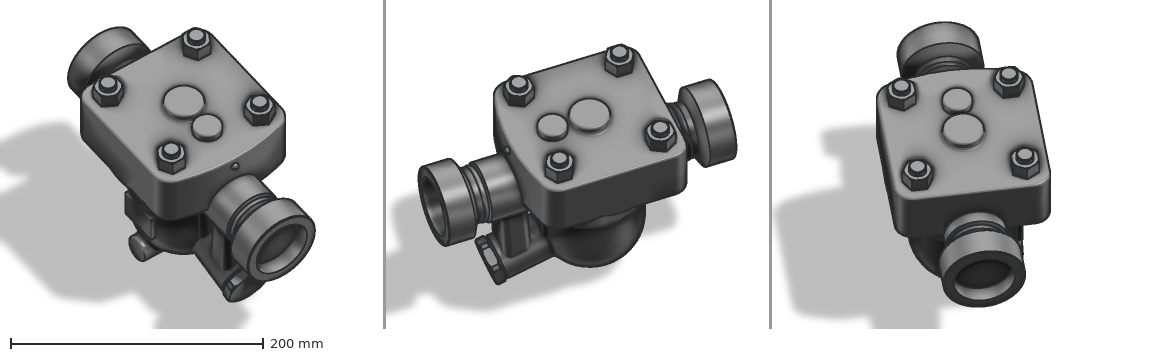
import cadquery as cq
import math


TOUCH_TOLERANCE = 0.002
HEX_HALF_ANGLE = math.pi / 6

BOWL_R = 44.3
SPHERE_Z = -62.5
CONE_BOTTOM_Z = -32.7
FLANGE_HALF_Y = 62.5
CONE_RIM_Z = 0.7
CONE_SLOPE = (FLANGE_HALF_Y - BOWL_R) / (CONE_RIM_Z - CONE_BOTTOM_Z)

FLANGE_BOTTOM_Z = 1.0
FLANGE_TOP_Z = 48.5
FLANGE_LEFT_X = -62.5
FLANGE_RIGHT_X = 69.1
CROWN_R = 172.2
LEFT_CORNER_R = 14.3
RIGHT_CORNER_R = 16.7
TOP_EDGE_R = 2.2
BOTTOM_EDGE_R = 3.0

PIPE_R = 50.0 / 2
PIPE_LENGTH = 246.0
PIPE_CENTER_X = 10.3
SOCKET_R = 66.0 / 2
SOCKET_LENGTH = 23.0
SOCKET_CHAMFER = 0.7
BORE_R = 49.2 / 2
BORE_DEPTH = 13.0
NECK_R = 46.0 / 2
NECK_START = 28.3
BEAD_START = 34.0
BEAD_TOP = 36.0
BEAD_END = 38.5
PIPE_START = 39.9
BEAD_R = 23.5
GROOVE_R = 22.1

BOLT_OFFSET = 43.0
STUD_R = 14.0 / 2
STUD_TOP_Z = 65.2
STUD_CHAMFER = 0.7
NUT_FLATS = 21.2
NUT_TOP_Z = 60.8
NUT_CHAMFER = 1.2
NUT_CLEARANCE_R = 9.5
NUT_CLEARANCE_Z = -19.0

BOSS_TOP_Z = 55.0
MAIN_BOSS_R = 33.0 / 2
MAIN_BOSS_FILLET = 3.0
MAIN_BOSS_ROUND = 2.0
SIDE_BOSS_R = 24.0 / 2
SIDE_BOSS_X = 31.7
SIDE_BOSS_ROUND = 1.7

BALL_R = 3.2
BALL_Z = 40.3

ARM_ANGLE = 15.0
ARM_R = 38.0 / 2
ARM_LENGTH = 81.5
ARM_FILLET = 5.0
PLUG_NECK_R = 35.5 / 2
PLUG_NECK_LENGTH = 1.7
PLUG_R = 40.0 / 2
PLUG_FLATS = 37.0
PLUG_LENGTH = 8.5
PLUG_CHAMFER = 1.2
BAR_HALF_Y = 15.7
RIB_X = 46.0
LEG_LEFT_X = 57.0
LEG_RIGHT_X = 81.5
LEG_TOP_Z = -12.3
LEG_BEND_Z = -32.7
LEG_BOTTOM_Z = -78.7
LEG_LEAN = 0.075
BAR_CORNER_R = 6.6
LEG_FILLET = 1.7
PIPE_INNER_R = 3.0
SLOT_CORNER_R = 4.0

DRAIN_R = 22.1 / 2
DRAIN_Z = -93.0
DRAIN_FACE_Y = -46.5
DRAIN_EDGE_R = 2.0
DRAIN_FILLET = 3.0
PLATE_WIDTH = 35.5
PLATE_HEIGHT = 24.0
PLATE_Z = -54.5
PLATE_FACE_Y = -45.0
PLATE_BACK_Y = -40.3
PLATE_EDGE_R = 1.0


def flange_prism(bottom_z, top_z):
    """Square plate with a bulged right side and rounded upright edges."""
    crown_center_x = FLANGE_RIGHT_X - CROWN_R
    corner_x = crown_center_x + math.sqrt(CROWN_R**2 - FLANGE_HALF_Y**2)
    prism = (
        cq.Workplane("XY", origin=(0, 0, bottom_z))
        .moveTo(FLANGE_LEFT_X, -FLANGE_HALF_Y)
        .lineTo(corner_x, -FLANGE_HALF_Y)
        .threePointArc((FLANGE_RIGHT_X, 0), (corner_x, FLANGE_HALF_Y))
        .lineTo(FLANGE_LEFT_X, FLANGE_HALF_Y)
        .close()
        .extrude(top_z - bottom_z)
    )
    right_corners = prism.edges("|Z").edges("not(<X)")
    return right_corners.fillet(RIGHT_CORNER_R).edges("|Z and <X").fillet(LEFT_CORNER_R)


def make_flange():
    prism = flange_prism(FLANGE_BOTTOM_Z, FLANGE_TOP_Z)
    return prism.faces(">Z").edges().fillet(TOP_EDGE_R).faces("<Z").edges().fillet(BOTTOM_EDGE_R)


def along_arm(distance):
    """Workplane square to the arm axis, at a distance from the sphere centre."""
    angle = math.radians(ARM_ANGLE)
    axis = (math.cos(angle), 0, -math.sin(angle))
    origin = (distance * axis[0], 0, SPHERE_Z + distance * axis[2])
    return cq.Workplane(cq.Plane(origin=origin, xDir=(0, 1, 0), normal=axis))


def make_bowl():
    """Cone, cylinder and hemisphere, with the cone trimmed to the flange outline."""
    rim_z = FLANGE_BOTTOM_Z + BOTTOM_EDGE_R
    rim_r = BOWL_R + CONE_SLOPE * (rim_z - CONE_BOTTOM_Z)
    diagonal = BOWL_R * math.sqrt(0.5)
    bowl = (
        cq.Workplane("XZ")
        .moveTo(0, rim_z)
        .lineTo(rim_r, rim_z)
        .lineTo(BOWL_R, CONE_BOTTOM_Z)
        .lineTo(BOWL_R, SPHERE_Z)
        .threePointArc((diagonal, SPHERE_Z - diagonal), (0, SPHERE_Z - BOWL_R))
        .close()
        .revolve(360, (0, 0, 0), (0, 1, 0))
    )
    column = flange_prism(SPHERE_Z - BOWL_R, rim_z)
    return bowl.intersect(column)


def blend(base, added, radius):
    """Join two solids and round the edges where their surfaces cross."""
    joined = base.union(added)

    def is_crossing(edge):
        middle = cq.Vertex.makeVertex(*edge.positionAt(0.5).toTuple())
        return all(part.val().Shells()[0].distance(middle) < TOUCH_TOLERANCE for part in (base, added))

    crossings = [edge for edge in joined.edges().vals() if is_crossing(edge)]
    return joined.newObject(crossings).fillet(radius)


def make_drain():
    drain = cq.Workplane("XZ", origin=(0, 0, DRAIN_Z)).circle(DRAIN_R).extrude(-DRAIN_FACE_Y)
    return drain.faces("<Y").edges().fillet(DRAIN_EDGE_R)


def make_clearances():
    """Upright scoops in the cone under the four nuts."""
    return (
        cq.Workplane("XY", origin=(0, 0, NUT_CLEARANCE_Z))
        .rect(2 * BOLT_OFFSET, 2 * BOLT_OFFSET, forConstruction=True)
        .vertices()
        .circle(NUT_CLEARANCE_R)
        .extrude(FLANGE_TOP_Z - NUT_CLEARANCE_Z)
    )


def make_pipe():
    """Right half profile mirrored to both ends; each socket has a blind bore."""
    end = PIPE_LENGTH / 2
    half = (
        cq.Workplane("XY")
        .lineTo(end - BORE_DEPTH, 0)
        .lineTo(end - BORE_DEPTH, BORE_R)
        .lineTo(end, BORE_R)
        .lineTo(end, SOCKET_R - SOCKET_CHAMFER)
        .lineTo(end - SOCKET_CHAMFER, SOCKET_R)
        .lineTo(end - SOCKET_LENGTH, SOCKET_R)
        .lineTo(end - NECK_START, NECK_R)
        .lineTo(end - BEAD_START, NECK_R)
        .threePointArc((end - BEAD_TOP, BEAD_R), (end - BEAD_END, GROOVE_R))
        .lineTo(end - PIPE_START, PIPE_R)
        .lineTo(0, PIPE_R)
        .close()
        .revolve(360, (0, 0, 0), (1, 0, 0))
    )
    return half.union(half.mirror("YZ")).translate((PIPE_CENTER_X, 0, 0))


def make_arm():
    return along_arm(0).circle(ARM_R).extrude(ARM_LENGTH)


def make_plug():
    """Short neck and a hexagon whose corners are turned down to a circle."""
    head_start = ARM_LENGTH + PLUG_NECK_LENGTH
    neck = along_arm(ARM_LENGTH).circle(PLUG_NECK_R).extrude(PLUG_NECK_LENGTH)
    turned = along_arm(head_start).circle(PLUG_R).extrude(PLUG_LENGTH).edges().chamfer(PLUG_CHAMFER)
    corners = PLUG_FLATS / math.cos(HEX_HALF_ANGLE)
    hex_plane = along_arm(head_start).transformed(rotate=(0, 0, math.degrees(HEX_HALF_ANGLE)))
    hexagon = hex_plane.polygon(6, corners).extrude(PLUG_LENGTH)
    return neck.union(turned.intersect(hexagon))


def rounded_bar(points):
    """Bar with an outline in the XZ plane and rounded edges along its length."""
    bar = cq.Workplane("XZ").polyline(points).close().extrude(BAR_HALF_Y, both=True)
    return bar.edges("not(|Y)").edges("not(#Z)").fillet(BAR_CORNER_R)


def make_leg():
    """Bar from the pipe down to the arm, upright at first and then leaning on both sides."""
    shift = LEG_LEAN * (LEG_BOTTOM_Z - LEG_BEND_Z)
    return rounded_bar([
        (LEG_LEFT_X, LEG_TOP_Z),
        (LEG_LEFT_X, LEG_BEND_Z),
        (LEG_LEFT_X + shift, LEG_BOTTOM_Z),
        (LEG_RIGHT_X + shift, LEG_BOTTOM_Z),
        (LEG_RIGHT_X, LEG_TOP_Z),
    ])


def make_rib():
    """Upright bar along the bowl, from the flange down into the arm."""
    inner_x = BOWL_R / 2
    return rounded_bar([
        (inner_x, FLANGE_BOTTOM_Z),
        (RIB_X, FLANGE_BOTTOM_Z),
        (RIB_X, LEG_BOTTOM_Z),
        (inner_x, LEG_BOTTOM_Z),
    ])


def make_slot():
    """Gap under the flange that parts the pipe from the cone, with rounded top corners."""
    slot = (
        cq.Workplane("XY", origin=((RIB_X + LEG_LEFT_X) / 2, 0, CONE_BOTTOM_Z))
        .rect(LEG_LEFT_X - RIB_X, 2 * FLANGE_HALF_Y)
        .extrude(FLANGE_BOTTOM_Z - CONE_BOTTOM_Z)
    )
    return slot.edges("|Y and >Z").fillet(SLOT_CORNER_R)


def make_slotted_pipe():
    """Pipe cut by the slot, with the lower rim on the leg side rounded."""
    rim = cq.selectors.BoxSelector(
        (LEG_LEFT_X - TOUCH_TOLERANCE, -PIPE_R, -PIPE_R),
        (LEG_LEFT_X + TOUCH_TOLERANCE, PIPE_R, 0),
    )
    return make_pipe().cut(make_slot()).edges(rim).edges("not(|Y)").fillet(PIPE_INNER_R)


def make_bosses():
    main_top = BOSS_TOP_Z - MAIN_BOSS_ROUND
    main_low = FLANGE_TOP_Z + MAIN_BOSS_FILLET
    round_mid = MAIN_BOSS_ROUND * (1 - math.sqrt(0.5))
    fillet_mid = MAIN_BOSS_FILLET * (1 - math.sqrt(0.5))
    main = (
        cq.Workplane("XZ")
        .moveTo(0, FLANGE_TOP_Z)
        .lineTo(MAIN_BOSS_R + MAIN_BOSS_FILLET, FLANGE_TOP_Z)
        .threePointArc((MAIN_BOSS_R + fillet_mid, FLANGE_TOP_Z + fillet_mid), (MAIN_BOSS_R, main_low))
        .lineTo(MAIN_BOSS_R, main_top)
        .threePointArc(
            (MAIN_BOSS_R - round_mid, BOSS_TOP_Z - round_mid),
            (MAIN_BOSS_R - MAIN_BOSS_ROUND, BOSS_TOP_Z),
        )
        .lineTo(0, BOSS_TOP_Z)
        .close()
        .revolve(360, (0, 0, 0), (0, 1, 0))
    )
    side = (
        cq.Workplane("XY", origin=(SIDE_BOSS_X, 0, FLANGE_TOP_Z))
        .circle(SIDE_BOSS_R)
        .extrude(BOSS_TOP_Z - FLANGE_TOP_Z)
        .faces(">Z").edges().fillet(SIDE_BOSS_ROUND)
    )
    return main.union(side)


def make_bolt(side_x, side_y):
    """Nut and stud end; neighbouring nuts are turned by 90 degrees."""
    turn = 0 if side_x == side_y else 90
    height = NUT_TOP_Z - FLANGE_TOP_Z
    corners = NUT_FLATS / math.cos(HEX_HALF_ANGLE)
    base = cq.Workplane("XY", origin=(0, 0, FLANGE_TOP_Z))
    cap = base.circle(corners / 2).extrude(height).faces(">Z").chamfer(NUT_CHAMFER / 2, NUT_CHAMFER)
    nut = base.polygon(6, corners).extrude(height).intersect(cap).rotate((0, 0, 0), (0, 0, 1), turn)
    stud = base.circle(STUD_R).extrude(STUD_TOP_Z - FLANGE_TOP_Z).faces(">Z").chamfer(STUD_CHAMFER)
    return nut.union(stud).translate((side_x * BOLT_OFFSET, side_y * BOLT_OFFSET, 0))


def make_name_plate():
    plate = cq.Workplane("XZ", origin=(0, PLATE_BACK_Y, PLATE_Z)).rect(PLATE_WIDTH, PLATE_HEIGHT)
    plate = plate.extrude(PLATE_BACK_Y - PLATE_FACE_Y)
    return plate.faces("<Y").edges().fillet(PLATE_EDGE_R)


bowl = make_bowl().cut(make_slot())
arm = blend(make_arm(), make_leg(), LEG_FILLET)
result = blend(bowl, make_drain(), DRAIN_FILLET)
result = blend(result, arm, ARM_FILLET)
result = result.union(make_rib())
result = result.cut(make_clearances())
result = result.union(make_slotted_pipe())
result = result.union(make_plug()).union(make_name_plate())
result = result.union(make_flange()).union(make_bosses())
for side_x in (-1, 1):
    for side_y in (-1, 1):
        result = result.union(make_bolt(side_x, side_y))
ball = cq.Workplane("XY", origin=(FLANGE_RIGHT_X, 0, BALL_Z)).sphere(BALL_R)
result = result.union(ball)